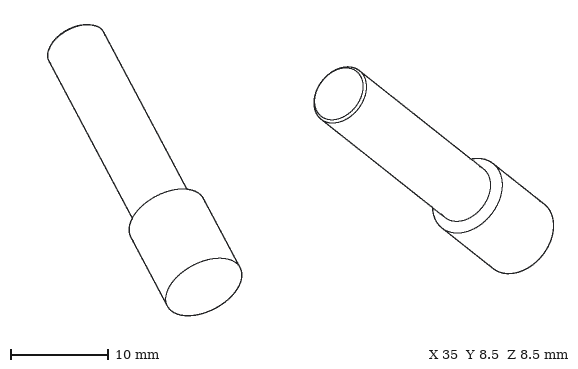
import cadquery as cq
import math

total_length = 35.0
head_diameter = 8.5
head_length = 10.0
shank_diameter = 6.4
shoulder_angle = 30.0
tip_chamfer = 0.25

head_radius = head_diameter / 2
shank_radius = shank_diameter / 2
head_start = total_length - head_length
shoulder_length = (head_radius - shank_radius) * math.tan(math.radians(shoulder_angle))
shank_end = head_start - shoulder_length


def make_pin():
    """Revolve the half profile: chamfered tip, shank, conical shoulder, head."""
    half_profile = (
        cq.Workplane("XY")
        .moveTo(0, 0)
        .lineTo(0, shank_radius - tip_chamfer)
        .lineTo(tip_chamfer, shank_radius)
        .lineTo(shank_end, shank_radius)
        .lineTo(head_start, head_radius)
        .lineTo(total_length, head_radius)
        .lineTo(total_length, 0)
        .close()
    )
    return half_profile.revolve(360, (0, 0, 0), (1, 0, 0))


result = make_pin()